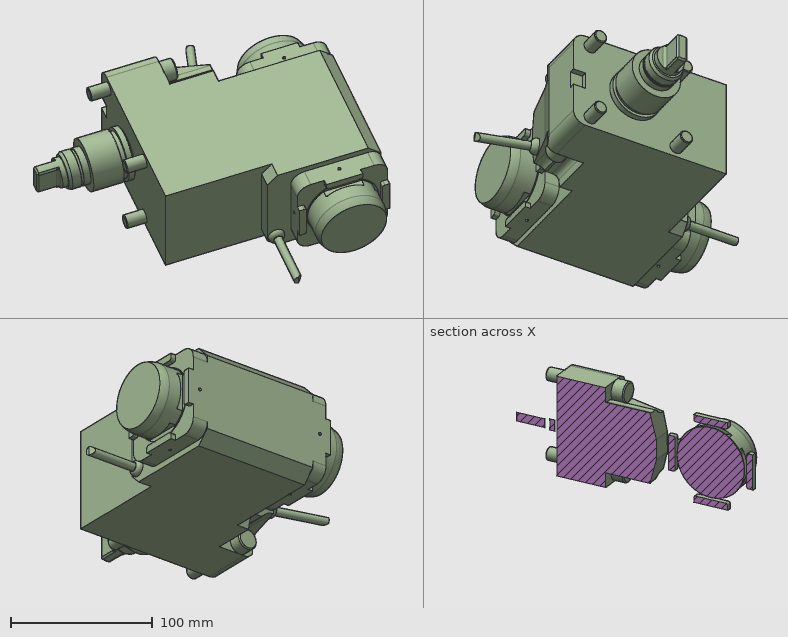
import cadquery as cq
import math


HALF_Z = 39.0
BASE_LEFT = -48.7
BASE_RIGHT = 76.0
BASE_BACK = 80.9
BASE_CORNER_R = 9.5
HEAD_LEFT = -7.5
HEAD_RIGHT = 87.2
HEAD_FRONT = 72.7
HEAD_BACK = 158.8
HEAD_BACK_CHAMFER = 9.8
HEAD_FRONT_CHAMFER = 7.7
ROOF_ANGLE = 15
ROOF_FLAT_HALF_Z = 8.0
SLANT_START_Y = 34.5
SLANT_BREAK_Y = 48.0
LOWER_SLANT_ANGLE = 20
UPPER_SLANT_ANGLE = 15
KEYWAY_LENGTH = 9.8
KEYWAY_WIDTH = 13.2
KEYWAY_DEPTH = 4.3

SCREW_X = 35.0
SCREW_Z = 31.0
SCREW_D = 10.0
SCREW_OUT = 15.0
SCREW_CHAMFER = 0.7
SCREW_HEAD_D = 16
SCREW_HEAD_CHAMFER = 1.0
SCREW_SEAT_Y = 39.6
SCREW_HEAD_HEIGHT = 10.0
POCKET_R = 8.7
LEDGE_Z = 26.9
LEDGE_RIGHT = -17.3
LEDGE_CORNER_R = 4.5
LEDGE_CHAMFER = 1.0

COLLAR_D = 39.9
SEAT_D = 39.5
NECK_D = 35.0
SHAFT_D = 28.0
SHAFT_GROOVE_D = 26.5
SHAFT_END_D = 25
DRIVE_D = 22.0
TONGUE_THICKNESS = 8.5
COLLAR_START = 1.4
COLLAR_END = 5.7
SEAT_START = 9.3
SEAT_END = 32.3
SHAFT_GROOVE_START = 37.4
SHAFT_GROOVE_END = 39.2
SHAFT_END = 46.0
SHAFT_CHAMFER_END = 48.3
TONGUE_START = 52.5
TONGUE_END = 69.0
TONGUE_ROOT_R = 2.0
TONGUE_CHAMFER = 1.4
TONGUE_FLAT_HALF_Z = 9

FLANGE_SIDE = 68.3
LEFT_FLANGE_THICKNESS = 11.6
RIGHT_FLANGE_THICKNESS = 12.5
FLANGE_CORNER_R = 10.3
DRUM_AXIS_Y = HEAD_BACK - FLANGE_SIDE / 2
PORT_D = 2.1
PORT_DEPTH = 2.3
PORT_OFFSET = 6.4
PAD_LENGTH = 27.5
PAD_WIDTH = 5.5
PAD_HEIGHT = 4.0
PAD_CORNER_R = 1.8
DRUM_D = 53.0
DRUM_RIM_D = 54.7
DRUM_RIM_HEIGHT = 0.5
DRUM_HEIGHT = 22.5
DRUM_CROWN = 7.0
DRUM_CROWN_DROP = 1.8
DRUM_FLAT_DISTANCE = 22.3
DRUM_FLAT_HEIGHT = 5.2

CABLE_D = 6.4
GLAND_D = 12.0
GLAND_TIP_D = 7.0
GLAND_BULGE = 0.7
RIGHT_GLAND_LENGTH = 4.0
LEFT_GLAND_LENGTH = 5.2
RIGHT_CABLE_Y = 79.3
RIGHT_CABLE_Z = -27.8
RIGHT_CABLE_LENGTH = 43.5
LEFT_CABLE_Y = 68.0
LEFT_CABLE_Z = -14.5
LEFT_CABLE_LENGTH = 45.5
LEFT_BEVEL_TURN = -45


def box(x0, x1, y0, y1, z0, z1):
    """Axis-aligned box between two corners."""
    return cq.Workplane("XY").box(x1 - x0, y1 - y0, z1 - z0, centered=False).translate((x0, y0, z0))


def rise(length, angle):
    """Offset gained over a length by a line inclined at an angle in degrees."""
    return length * math.tan(math.radians(angle))


SLANT_BREAK_X = BASE_LEFT + rise(SLANT_BREAK_Y - SLANT_START_Y, LOWER_SLANT_ANGLE)


def slant_x(y):
    """X of the upper slanted face at a given Y."""
    return SLANT_BREAK_X + rise(y - SLANT_BREAK_Y, UPPER_SLANT_ANGLE)


def make_base():
    """Lower housing with a slanted left side, a sloping roof and a keyway."""
    base = box(BASE_LEFT, BASE_RIGHT, 0, BASE_BACK, -HALF_Z, HALF_Z)
    base = base.edges("|Y and <X").fillet(BASE_CORNER_R)
    slant_cut = (
        cq.Workplane("XY", origin=(0, 0, -HALF_Z))
        .moveTo(BASE_LEFT, SLANT_START_Y)
        .lineTo(SLANT_BREAK_X, SLANT_BREAK_Y)
        .lineTo(slant_x(BASE_BACK), BASE_BACK)
        .lineTo(BASE_LEFT, BASE_BACK)
        .close()
        .extrude(2 * HALF_Z)
    )
    roof_low_y = BASE_BACK - rise(HALF_Z - ROOF_FLAT_HALF_Z, ROOF_ANGLE)
    roof_cut = (
        cq.Workplane("YZ", origin=(BASE_LEFT, 0, 0))
        .moveTo(BASE_BACK, ROOF_FLAT_HALF_Z)
        .lineTo(roof_low_y, HALF_Z)
        .lineTo(BASE_BACK, HALF_Z)
        .close()
        .extrude(HEAD_LEFT - BASE_LEFT)
    )
    keyway = box(
        BASE_LEFT, BASE_LEFT + KEYWAY_LENGTH, 0, KEYWAY_DEPTH, -KEYWAY_WIDTH / 2, KEYWAY_WIDTH / 2
    )
    return base.cut(slant_cut).cut(roof_cut).cut(roof_cut.mirror("XY")).cut(keyway)


def make_head():
    """Upper housing block that carries the drums."""
    head = box(HEAD_LEFT, HEAD_RIGHT, HEAD_FRONT, HEAD_BACK, -HALF_Z, HALF_Z)
    head = head.edges("|X and >Y").chamfer(HEAD_BACK_CHAMFER)
    return head.edges("|X and <Y").chamfer(HEAD_FRONT_CHAMFER)


def make_pocket():
    """Upper screw pocket: a round channel around the screw with a shallower ledge on its right."""
    length = BASE_BACK - SCREW_SEAT_Y
    channel = (
        cq.Workplane("XZ", origin=(-SCREW_X, BASE_BACK, SCREW_Z)).circle(POCKET_R).extrude(length)
    )
    open_side = box(BASE_LEFT, -SCREW_X, SCREW_SEAT_Y, BASE_BACK, SCREW_Z - POCKET_R, HALF_Z)
    ledge = box(-SCREW_X, LEDGE_RIGHT, SCREW_SEAT_Y, BASE_BACK, LEDGE_Z, HALF_Z)
    ledge = ledge.edges("|Y and >X and <Z").fillet(LEDGE_CORNER_R)
    lip_x = -SCREW_X + math.sqrt(POCKET_R**2 - (SCREW_Z - LEDGE_Z) ** 2)
    lip = (
        cq.Workplane("XZ", origin=(0, BASE_BACK, 0))
        .moveTo(lip_x - LEDGE_CHAMFER, LEDGE_Z - LEDGE_CHAMFER)
        .lineTo(lip_x + LEDGE_CHAMFER, LEDGE_Z)
        .lineTo(lip_x - LEDGE_CHAMFER, LEDGE_Z)
        .close()
        .extrude(length)
    )
    return channel.union(open_side).union(ledge).union(lip)


def make_shank(x, z):
    shank = cq.Workplane("XZ", origin=(x, 0, z)).circle(SCREW_D / 2).extrude(SCREW_OUT)
    return shank.faces("<Y").chamfer(SCREW_CHAMFER)


def make_screw_head(z):
    seat = cq.Workplane("XZ", origin=(-SCREW_X, SCREW_SEAT_Y, z))
    head = seat.circle(SCREW_HEAD_D / 2).extrude(-SCREW_HEAD_HEIGHT)
    return head.faces(">Y").chamfer(SCREW_HEAD_CHAMFER)


def make_spindle():
    """Stepped spindle ending in a flat drive tongue."""
    profile = (
        cq.Workplane("XY")
        .moveTo(0, 0)
        .lineTo(NECK_D / 2, 0)
        .lineTo(NECK_D / 2, -COLLAR_START)
        .lineTo(COLLAR_D / 2, -COLLAR_START)
        .lineTo(COLLAR_D / 2, -COLLAR_END)
        .lineTo(NECK_D / 2, -COLLAR_END)
        .lineTo(NECK_D / 2, -SEAT_START)
        .lineTo(SEAT_D / 2, -SEAT_START)
        .lineTo(SEAT_D / 2, -SEAT_END)
        .lineTo(SHAFT_D / 2, -SEAT_END)
        .lineTo(SHAFT_D / 2, -SHAFT_GROOVE_START)
        .lineTo(SHAFT_GROOVE_D / 2, -SHAFT_GROOVE_START)
        .lineTo(SHAFT_GROOVE_D / 2, -SHAFT_GROOVE_END)
        .lineTo(SHAFT_D / 2, -SHAFT_GROOVE_END)
        .lineTo(SHAFT_D / 2, -SHAFT_END)
        .lineTo(SHAFT_END_D / 2, -SHAFT_CHAMFER_END)
        .lineTo(DRIVE_D / 2, -SHAFT_CHAMFER_END)
        .lineTo(DRIVE_D / 2, -TONGUE_END + TONGUE_CHAMFER)
        .lineTo(DRIVE_D / 2 - TONGUE_CHAMFER, -TONGUE_END)
        .lineTo(0, -TONGUE_END)
        .close()
    )
    spindle = profile.revolve(360, (0, 0, 0), (0, 1, 0))
    flank = box(TONGUE_THICKNESS / 2, DRIVE_D, -TONGUE_END, -TONGUE_START, -DRIVE_D, DRIVE_D)
    flank = flank.edges("|Z and <X and >Y").fillet(TONGUE_ROOT_R)
    tip_bevel = (
        cq.Workplane("XY", origin=(0, 0, -DRIVE_D))
        .moveTo(TONGUE_THICKNESS / 2, -TONGUE_END)
        .lineTo(TONGUE_THICKNESS / 2, -TONGUE_END + TONGUE_CHAMFER)
        .lineTo(TONGUE_THICKNESS / 2 - TONGUE_CHAMFER, -TONGUE_END)
        .close()
        .extrude(2 * DRIVE_D)
    )
    side_bevel = (
        cq.Workplane("XZ", origin=(0, -TONGUE_START, 0))
        .moveTo(TONGUE_THICKNESS / 2, TONGUE_FLAT_HALF_Z)
        .lineTo(TONGUE_THICKNESS / 2, DRIVE_D / 2)
        .lineTo(TONGUE_THICKNESS / 2 - TONGUE_CHAMFER, DRIVE_D / 2)
        .close()
        .extrude(TONGUE_END - TONGUE_START)
    )
    cutter = flank.union(tip_bevel).union(side_bevel).union(side_bevel.mirror("XY"))
    return spindle.cut(cutter).cut(cutter.mirror("YZ"))


def make_drum_unit(flange_thickness):
    """Flange, pads and drum with the drum axis along +Z and the back of the part towards +Y."""
    half = FLANGE_SIDE / 2
    flange = cq.Workplane("XY").rect(FLANGE_SIDE, FLANGE_SIDE).extrude(flange_thickness)
    flange = flange.edges("|Z").fillet(FLANGE_CORNER_R)
    pad = (
        cq.Workplane("XY", origin=(0, half - PAD_WIDTH / 2, flange_thickness))
        .rect(PAD_LENGTH, PAD_WIDTH)
        .extrude(PAD_HEIGHT)
        .edges("|Z and <Y")
        .fillet(PAD_CORNER_R)
    )
    port = cq.Workplane("XZ", origin=(0, half, PORT_OFFSET)).circle(PORT_D / 2).extrude(PORT_DEPTH)
    drum_r = DRUM_D / 2
    crown_r = (DRUM_CROWN**2 + DRUM_CROWN_DROP**2) / (2 * DRUM_CROWN_DROP)
    mid_angle = math.asin(DRUM_CROWN / crown_r) / 2
    crown_mid = (
        drum_r - crown_r * (1 - math.cos(mid_angle)),
        DRUM_HEIGHT - DRUM_CROWN + crown_r * math.sin(mid_angle),
    )
    drum = (
        cq.Workplane("XZ")
        .lineTo(drum_r, 0)
        .lineTo(drum_r, DRUM_HEIGHT - DRUM_CROWN)
        .threePointArc(crown_mid, (drum_r - DRUM_CROWN_DROP, DRUM_HEIGHT))
        .lineTo(0, DRUM_HEIGHT)
        .close()
        .revolve(360, (0, 0, 0), (0, 1, 0))
        .translate((0, 0, flange_thickness))
    )
    drum_flat = box(
        -drum_r, drum_r, DRUM_FLAT_DISTANCE, half, flange_thickness, flange_thickness + DRUM_FLAT_HEIGHT
    )
    axis = ((0, 0, 0), (0, 0, 1))
    for angle in (-90, 0, 90):
        drum = drum.cut(drum_flat.rotate(*axis, angle))
    flange_face = cq.Workplane("XY", origin=(0, 0, flange_thickness))
    rim = flange_face.circle(DRUM_RIM_D / 2).extrude(DRUM_RIM_HEIGHT)
    unit = flange.union(rim).union(drum)
    for angle in (0, 90, 180, 270):
        unit = unit.union(pad.rotate(*axis, angle)).cut(port.rotate(*axis, angle))
    return unit


def make_cable(length, gland_length):
    """Cable with a domed gland, leaving the origin along +X, with half its end beveled towards +Y."""
    gland_mid = (GLAND_BULGE * gland_length, GLAND_TIP_D / 2 + GLAND_BULGE * (GLAND_D - GLAND_TIP_D) / 2)
    cable_r = CABLE_D / 2
    cable = (
        cq.Workplane("XY")
        .moveTo(-gland_length, 0)
        .lineTo(-gland_length, GLAND_D / 2)
        .lineTo(0, GLAND_D / 2)
        .threePointArc(gland_mid, (gland_length, GLAND_TIP_D / 2))
        .lineTo(gland_length, cable_r)
        .lineTo(length, cable_r)
        .lineTo(length, 0)
        .close()
        .revolve(360, (0, 0, 0), (1, 0, 0))
    )
    bevel = (
        cq.Workplane("XY", origin=(0, 0, -cable_r))
        .moveTo(length, 0)
        .lineTo(length, cable_r)
        .lineTo(length - cable_r, cable_r)
        .close()
        .extrude(CABLE_D)
    )
    return cable.cut(bevel)


pocket = make_pocket()
result = make_base().cut(pocket).cut(pocket.mirror("XY")).union(make_head())

for screw_z in (-SCREW_Z, SCREW_Z):
    result = result.union(make_screw_head(screw_z))
    for screw_x in (-SCREW_X, SCREW_X):
        result = result.union(make_shank(screw_x, screw_z))

result = result.union(make_spindle())

right_unit = make_drum_unit(RIGHT_FLANGE_THICKNESS).rotate((0, 0, 0), (0, 1, 0), 90)
left_unit = make_drum_unit(LEFT_FLANGE_THICKNESS).rotate((0, 0, 0), (0, 1, 0), 90).mirror("YZ")
result = result.union(right_unit.translate((HEAD_RIGHT, DRUM_AXIS_Y, 0)))
result = result.union(left_unit.translate((HEAD_LEFT, DRUM_AXIS_Y, 0)))

right_cable = make_cable(RIGHT_CABLE_LENGTH, RIGHT_GLAND_LENGTH)
result = result.union(right_cable.translate((HEAD_RIGHT, RIGHT_CABLE_Y, RIGHT_CABLE_Z)))
left_cable = make_cable(LEFT_CABLE_LENGTH, LEFT_GLAND_LENGTH)
left_cable = left_cable.rotate((0, 0, 0), (1, 0, 0), LEFT_BEVEL_TURN)
left_cable = left_cable.rotate((0, 0, 0), (0, 0, 1), 180 - UPPER_SLANT_ANGLE)
result = result.union(left_cable.translate((slant_x(LEFT_CABLE_Y), LEFT_CABLE_Y, LEFT_CABLE_Z)))